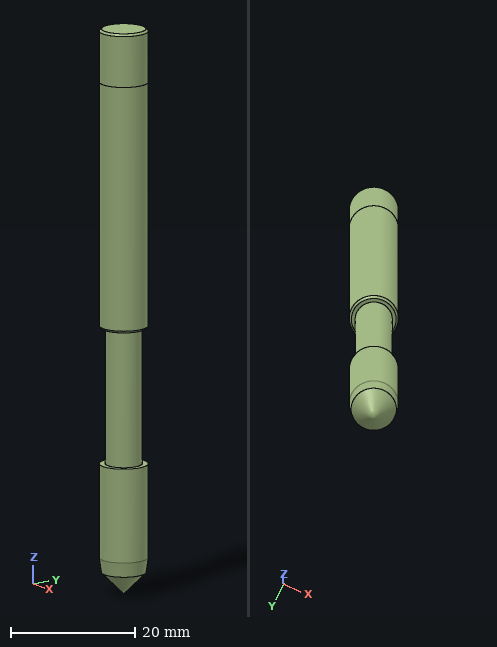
import cadquery as cq

total_length = 93.7
body_diameter = 8.0
neck_diameter = 6.0

cone_height = 3.7
nose_height = 6.1
head_top = 21.6
shank_bottom = 44.1
joint_height = 84.9

nose_diameter = 7.3
edge_chamfer = 0.4

body_radius = body_diameter / 2
neck_radius = neck_diameter / 2
nose_radius = nose_diameter / 2


def make_punch():
    """Turned punch: pointed cone, tapered nose, head, narrow neck and long shank."""
    profile = [
        (0, 0),
        (nose_radius, cone_height),
        (body_radius, nose_height),
        (body_radius, head_top),
        (neck_radius, head_top),
        (neck_radius, shank_bottom),
        (body_radius - edge_chamfer, shank_bottom),
        (body_radius, shank_bottom + edge_chamfer),
        (body_radius, joint_height),
        (0, joint_height),
    ]
    return cq.Workplane("XZ").polyline(profile).close().revolve(360, (0, 0), (0, 1))


def make_cap():
    """Cylindrical cap, flush with the shank, chamfered around its top face."""
    return (
        cq.Workplane("XY")
        .workplane(offset=joint_height)
        .circle(body_radius)
        .extrude(total_length - joint_height)
        .faces(">Z")
        .edges()
        .chamfer(edge_chamfer)
    )


punch = make_punch()
cap = make_cap()

result = cq.Compound.makeCompound([punch.val(), cap.val()])